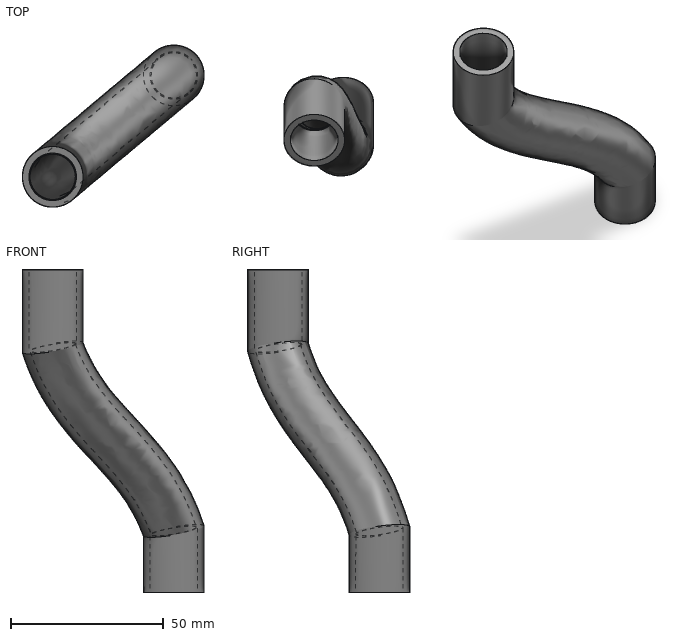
import cadquery as cq
import math

outer_diameter = 19.9
leg_bore_diameter = 15.6
bend_bore_diameter = 14.8

height = 105.9
offset_x = 39.7
offset_y = 33.2
top_joint_z = 80.4
bottom_joint_z = 20.2
bend_end_angle = 24.0

offset_length = math.hypot(offset_x, offset_y)
offset_direction = cq.Vector(offset_x, offset_y, 0) / offset_length


def tilted_direction(angle):
    """Downward unit direction leaning towards the lower leg by angle degrees."""
    lean = math.radians(angle)
    return offset_direction * math.sin(lean) - cq.Vector(0, 0, math.cos(lean))


mitre_angle = bend_end_angle / 2
bend_direction = tilted_direction(bend_end_angle)
mitre_normal = tilted_direction(mitre_angle)
top_joint = cq.Vector(0, 0, top_joint_z)
bottom_joint = cq.Vector(offset_x, offset_y, bottom_joint_z)


def trim_block(joint, direction):
    """Block that fills the side of a joint plane towards which direction points."""
    plane = cq.Plane(origin=joint, normal=direction)
    return cq.Workplane(plane).rect(height, height).extrude(height)


def tube(leg_diameter, bend_diameter):
    """Solid rod along both straight legs and the bend."""
    upper_leg = cq.Workplane("XY").circle(leg_diameter / 2).extrude(height)
    upper_leg = upper_leg.cut(trim_block(top_joint, mitre_normal))

    lower_leg = cq.Workplane("XY").center(offset_x, offset_y).circle(leg_diameter / 2).extrude(height)
    lower_leg = lower_leg.cut(trim_block(bottom_joint, -mitre_normal))

    path = cq.Workplane("XY").spline([top_joint, bottom_joint], tangents=[bend_direction, bend_direction])
    level_direction = cq.Vector(0, 0, 1).cross(offset_direction)
    long_direction = level_direction.cross(mitre_normal)
    section_plane = cq.Plane(origin=top_joint, xDir=long_direction, normal=mitre_normal)
    long_radius = bend_diameter / 2 / math.cos(math.radians(mitre_angle))
    bend = cq.Workplane(section_plane).ellipse(long_radius, bend_diameter / 2).sweep(path)
    return upper_leg.union(bend).union(lower_leg)


result = tube(outer_diameter, outer_diameter).cut(tube(leg_bore_diameter, bend_bore_diameter))